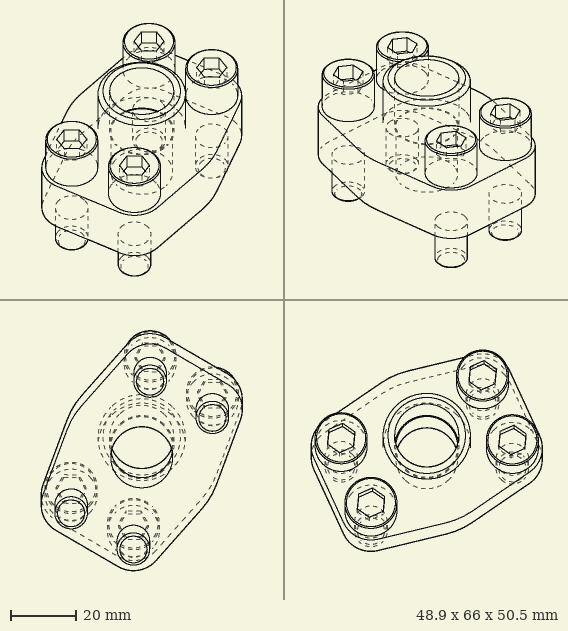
import cadquery as cq
import math

plate_length = 66.0
plate_width = 48.9
plate_height = 18.0

screw_spacing_x = 22.2
screw_spacing_y = 47.6

neck_height = 18.0
neck_diameter = 26.8
neck_fillet = 1.85
neck_chamfer_width = 1.5
neck_chamfer_height = 1.25
neck_bore_diameter = 19.7
plate_bore_diameter = 19.0

shank_diameter = 10.0
shank_length = 14.45
shank_chamfer = 0.85
head_diameter = 16.0
head_height = 12.55
head_chamfer = 0.45
socket_across_flats = 8.0
socket_depth = 5.0


def polar(center_x, center_y, radius, angle):
    return (center_x + radius * math.cos(angle), center_y + radius * math.sin(angle))


def make_plate():
    """Plate with corners rounded about the screws and sides bulging about the bore."""
    half_length = plate_length / 2
    side_radius = plate_width / 2
    corner_x = screw_spacing_x / 2
    corner_y = screw_spacing_y / 2
    corner_radius = half_length - corner_y

    center_distance = math.hypot(corner_x, corner_y)
    center_angle = math.atan2(corner_y, corner_x)
    flank_angle = center_angle - math.acos((side_radius - corner_radius) / center_distance)
    corner_mid_angle = (flank_angle + math.pi / 2) / 2

    side_x, side_y = polar(0, 0, side_radius, flank_angle)
    flank_x, flank_y = polar(corner_x, corner_y, corner_radius, flank_angle)
    mid_x, mid_y = polar(corner_x, corner_y, corner_radius, corner_mid_angle)

    return (
        cq.Workplane("XY")
        .moveTo(side_x, -side_y)
        .threePointArc((side_radius, 0), (side_x, side_y))
        .lineTo(flank_x, flank_y)
        .threePointArc((mid_x, mid_y), (corner_x, half_length))
        .lineTo(-corner_x, half_length)
        .threePointArc((-mid_x, mid_y), (-flank_x, flank_y))
        .lineTo(-side_x, side_y)
        .threePointArc((-side_radius, 0), (-side_x, -side_y))
        .lineTo(-flank_x, -flank_y)
        .threePointArc((-mid_x, -mid_y), (-corner_x, -half_length))
        .lineTo(corner_x, -half_length)
        .threePointArc((mid_x, -mid_y), (flank_x, -flank_y))
        .close()
        .extrude(plate_height)
    )


def make_neck():
    """Revolved neck with a bevelled rim and a concave fillet onto the plate."""
    radius = neck_diameter / 2
    top = plate_height + neck_height
    fillet_x = radius + neck_fillet
    fillet_z = plate_height + neck_fillet
    fillet_mid = polar(fillet_x, fillet_z, neck_fillet, math.radians(225))
    return (
        cq.Workplane("XZ")
        .lineTo(fillet_x, 0)
        .lineTo(fillet_x, plate_height)
        .threePointArc(fillet_mid, (radius, fillet_z))
        .lineTo(radius, top - neck_chamfer_height)
        .lineTo(radius - neck_chamfer_width, top)
        .lineTo(0, top)
        .close()
        .revolve(360, (0, 0, 0), (0, 1, 0))
    )


def make_bore():
    """Through bore, slightly wider inside the neck than inside the plate."""
    plate_bore = cq.Workplane("XY").circle(plate_bore_diameter / 2).extrude(plate_height)
    neck_bore = (
        cq.Workplane("XY", origin=(0, 0, plate_height))
        .circle(neck_bore_diameter / 2)
        .extrude(neck_height)
    )
    return plate_bore.union(neck_bore)


def make_screw():
    """Screw on the Z axis with its head seated on top of the plate."""
    shank = (
        cq.Workplane("XY", origin=(0, 0, -shank_length))
        .circle(shank_diameter / 2)
        .extrude(shank_length + plate_height)
        .faces("<Z")
        .chamfer(shank_chamfer)
    )
    head = (
        cq.Workplane("XY", origin=(0, 0, plate_height))
        .circle(head_diameter / 2)
        .extrude(head_height)
        .faces(">Z")
        .chamfer(head_chamfer)
    )
    socket = (
        cq.Workplane("XY", origin=(0, 0, plate_height + head_height - socket_depth))
        .polygon(6, socket_across_flats, circumscribed=True)
        .extrude(socket_depth)
    )
    return shank.union(head).cut(socket)


result = make_plate().union(make_neck()).cut(make_bore())

screw = make_screw()
for side_x in (-1, 1):
    for side_y in (-1, 1):
        position = (side_x * screw_spacing_x / 2, side_y * screw_spacing_y / 2, 0)
        result = result.union(screw.translate(position))